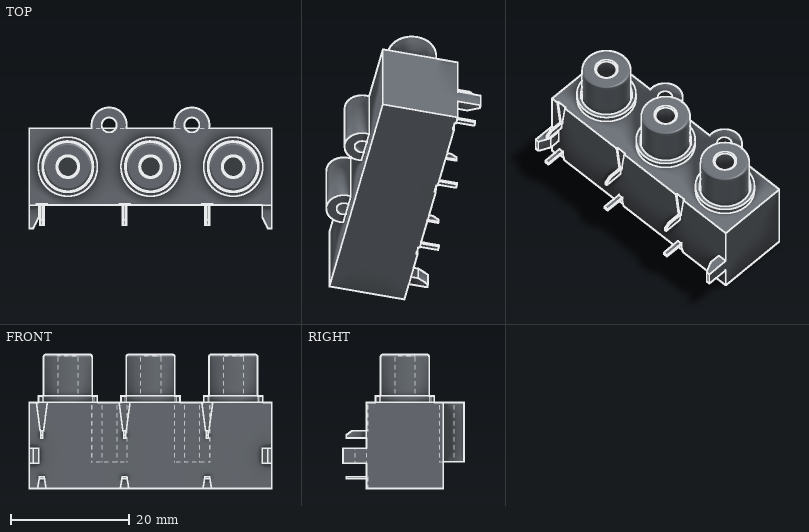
import cadquery as cq

BODY_LENGTH = 41.0
BODY_DEPTH = 13.0
BODY_HEIGHT = 14.6
BODY_FRONT = -BODY_DEPTH / 2
BODY_BACK = BODY_DEPTH / 2

JACK_PITCH = 14.0
JACK_CENTERS = [-JACK_PITCH, 0, JACK_PITCH]
FLANGE_DIAMETER = 10.0
FLANGE_HEIGHT = 1.1
FLANGE_BORE_DIAMETER = 8.7
BARREL_DIAMETER = 8.3
BARREL_HEIGHT = 7.0
BARREL_FILLET = 0.5
SOCKET_DIAMETER = 3.4
SOCKET_DEPTH = BARREL_HEIGHT
SOCKET_CHAMFER = 0.25

LUG_CENTERS = [-JACK_PITCH / 2, JACK_PITCH / 2]
LUG_DIAMETER = 6.0
LUG_REACH = 3.53
LUG_HEIGHT = 10.05
LUG_HOLE_DIAMETER = 2.5
LUG_CENTER_Y = BODY_BACK + LUG_REACH - LUG_DIAMETER / 2

TAB_REACH = 3.98
TAB_STRAIGHT = 2.0
TAB_ROOT_WIDTH = 1.65
TAB_TIP_WIDTH = 0.65
TAB_BOTTOM = 4.25
TAB_HEIGHT = 2.6

TERMINAL_OFFSET = -4.4
PIN_REACH = 3.45
NOTCH_DEPTH = 0.25

UPPER_NOTCH_HEIGHT = 4.8
UPPER_NOTCH_END = BODY_HEIGHT - UPPER_NOTCH_HEIGHT
UPPER_NOTCH_WIDE = 1.85
UPPER_NOTCH_NARROW = 0.57
UPPER_PIN_WIDTH = 0.33
UPPER_PIN_HEIGHT = 1.27
UPPER_PIN_TIP_HEIGHT = 0.55
UPPER_PIN_TIP_LENGTH = 1.0

LOWER_NOTCH_HEIGHT = 2.05
LOWER_NOTCH_WIDE = 1.45
LOWER_NOTCH_NARROW = 0.78
LOWER_PIN_WIDTH = LOWER_NOTCH_NARROW
LOWER_PIN_HEIGHT = 0.4


def cylinder(diameter, height, x, y, bottom):
    return cq.Workplane("XY", origin=(x, y, bottom)).circle(diameter / 2).extrude(height)


def block(width, y_start, y_end, bottom, height, x):
    """Box centred on x that spans y_start to y_end and rises from bottom."""
    return (
        cq.Workplane("XY", origin=(x, (y_start + y_end) / 2, bottom))
        .rect(width, y_end - y_start)
        .extrude(height)
    )


def jack(x):
    """Flange ring with a barrel standing clear inside it."""
    flange = cylinder(FLANGE_DIAMETER, FLANGE_HEIGHT, x, 0, BODY_HEIGHT)
    flange = flange.cut(cylinder(FLANGE_BORE_DIAMETER, FLANGE_HEIGHT, x, 0, BODY_HEIGHT))
    barrel = (
        cylinder(BARREL_DIAMETER, FLANGE_HEIGHT + BARREL_HEIGHT, x, 0, BODY_HEIGHT)
        .faces(">Z").edges().fillet(BARREL_FILLET)
        .faces(">Z").workplane().hole(SOCKET_DIAMETER, SOCKET_DEPTH)
        .faces(">Z").edges(cq.selectors.RadiusNthSelector(0)).chamfer(SOCKET_CHAMFER)
    )
    return flange.union(barrel)


def lug(x):
    """Round lug, flush with the top face and merging into the back of the block."""
    return cylinder(LUG_DIAMETER, LUG_HEIGHT, x, LUG_CENTER_Y, BODY_HEIGHT - LUG_HEIGHT)


def lug_hole(x):
    """Hole through the lug that also bites into the block down to the lug's underside."""
    return cylinder(LUG_HOLE_DIAMETER, LUG_HEIGHT, x, LUG_CENTER_Y, BODY_HEIGHT - LUG_HEIGHT)


def tab(side):
    """Locating tab, flush with the block end on the given side (-1 or 1)."""
    outer = side * BODY_LENGTH / 2
    root = outer - side * TAB_ROOT_WIDTH
    tip = outer - side * TAB_TIP_WIDTH
    outline = [
        (outer, BODY_FRONT),
        (outer, BODY_FRONT - TAB_REACH),
        (tip, BODY_FRONT - TAB_REACH),
        (root, BODY_FRONT - TAB_STRAIGHT),
        (root, BODY_FRONT),
    ]
    return cq.Workplane("XY", origin=(0, 0, TAB_BOTTOM)).polyline(outline).close().extrude(TAB_HEIGHT)


def notch(x, wide_z, wide_width, narrow_z, narrow_width):
    """Tapered shallow recess in the front face."""
    outline = [
        (x - wide_width / 2, wide_z),
        (x + wide_width / 2, wide_z),
        (x + narrow_width / 2, narrow_z),
        (x - narrow_width / 2, narrow_z),
    ]
    return cq.Workplane("XZ", origin=(0, BODY_FRONT, 0)).polyline(outline).close().extrude(-NOTCH_DEPTH)


def upper_pin(x):
    """Thin upright blade with its upper front corner sloped off."""
    top = UPPER_NOTCH_END
    bottom = top - UPPER_PIN_HEIGHT
    tip = BODY_FRONT - PIN_REACH
    outline = [
        (BODY_FRONT, bottom),
        (tip, bottom),
        (tip, bottom + UPPER_PIN_TIP_HEIGHT),
        (tip + UPPER_PIN_TIP_LENGTH, top),
        (BODY_FRONT, top),
    ]
    left = x - UPPER_PIN_WIDTH / 2
    return cq.Workplane("YZ", origin=(left, 0, 0)).polyline(outline).close().extrude(UPPER_PIN_WIDTH)


def lower_pin(x):
    """Flat pin rooted at the back of the lower notch."""
    return block(
        LOWER_PIN_WIDTH,
        BODY_FRONT - PIN_REACH,
        BODY_FRONT + NOTCH_DEPTH,
        LOWER_NOTCH_HEIGHT - LOWER_PIN_HEIGHT,
        LOWER_PIN_HEIGHT,
        x,
    )


result = block(BODY_LENGTH, BODY_FRONT, BODY_BACK, 0, BODY_HEIGHT, 0)

for lug_x in LUG_CENTERS:
    result = result.union(lug(lug_x)).cut(lug_hole(lug_x))

for end in (-1, 1):
    result = result.union(tab(end))

for jack_x in JACK_CENTERS:
    terminal_x = jack_x + TERMINAL_OFFSET
    result = (
        result.union(jack(jack_x))
        .cut(notch(terminal_x, BODY_HEIGHT, UPPER_NOTCH_WIDE, UPPER_NOTCH_END, UPPER_NOTCH_NARROW))
        .cut(notch(terminal_x, 0, LOWER_NOTCH_WIDE, LOWER_NOTCH_HEIGHT, LOWER_NOTCH_NARROW))
        .union(upper_pin(terminal_x))
        .union(lower_pin(terminal_x))
    )